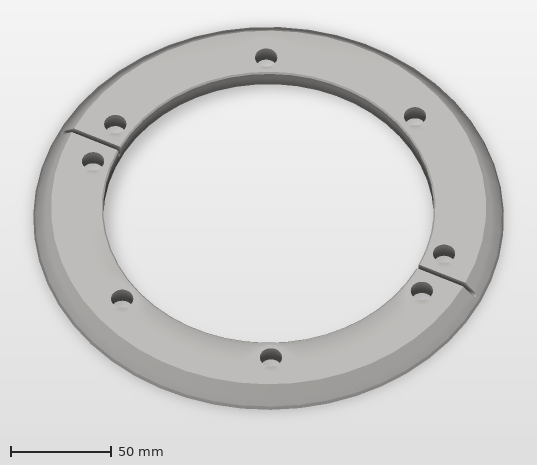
import cadquery as cq
import math

outer_diameter = 234.95
bore_diameter = 165.1
thickness = 9.525
rim_height = 1.5875
rim_angle = 60
flank_angle = 45
bore_chamfer = 0.79375

hole_diameter = 11.1125
bolt_circle_radius = 92.075
slot_hole_offset = 12.7
outer_hole_offset = 41.275

slot_width = 2.38125
slot_depth = 6.35


def ring_body():
    """Revolve the ring section: tapered rim, conical flank, chamfered bore."""
    outer_radius = outer_diameter / 2
    bore_radius = bore_diameter / 2
    flank_base_radius = outer_radius - rim_height / math.tan(math.radians(rim_angle))
    flank_run = (thickness - rim_height) / math.tan(math.radians(flank_angle))
    section = [
        (bore_radius, 0),
        (outer_radius, 0),
        (flank_base_radius, rim_height),
        (flank_base_radius - flank_run, thickness),
        (bore_radius + bore_chamfer, thickness),
        (bore_radius, thickness - bore_chamfer),
    ]
    return cq.Workplane("XZ").polyline(section).close().revolve(360, (0, 0), (0, 1))


def hole_cutters():
    """Cylinders for the eight holes, two per quadrant, on one bolt circle."""
    slot_hole_x = math.sqrt(bolt_circle_radius**2 - slot_hole_offset**2)
    outer_hole_y = math.sqrt(bolt_circle_radius**2 - outer_hole_offset**2)
    centers = []
    for x, y in [(slot_hole_x, slot_hole_offset), (outer_hole_offset, outer_hole_y)]:
        for x_side in (1, -1):
            for y_side in (1, -1):
                centers.append((x_side * x, y_side * y))
    return cq.Workplane("XY").pushPoints(centers).circle(hole_diameter / 2).extrude(thickness)


def slot_cutter():
    """U-shaped bar running the full diameter, leaving a slot on both sides of the bore."""
    half_width = slot_width / 2
    slot_bottom = thickness - slot_depth
    arc_start = slot_bottom + half_width
    return (
        cq.Workplane("YZ")
        .moveTo(-half_width, thickness)
        .lineTo(-half_width, arc_start)
        .threePointArc((0, slot_bottom), (half_width, arc_start))
        .lineTo(half_width, thickness)
        .close()
        .extrude(outer_diameter / 2, both=True)
    )


result = ring_body().cut(hole_cutters()).cut(slot_cutter())